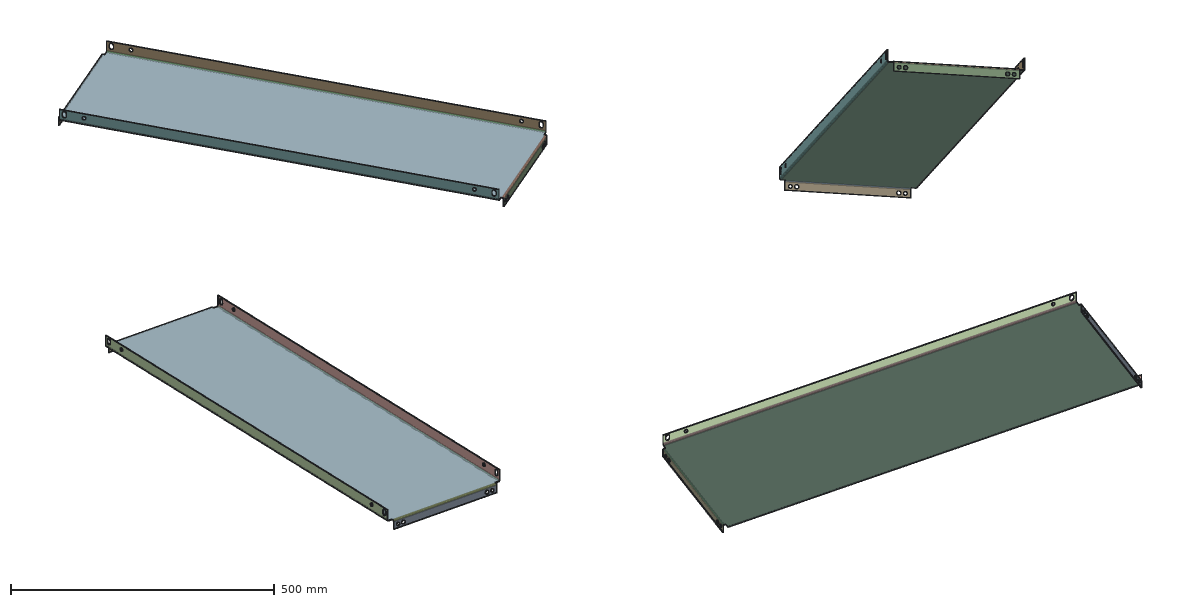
import cadquery as cq

LENGTH = 898.0
WIDTH = 269.0
HEIGHT = 43.0
SHEET = 2.0
BEND_INSIDE = 1.6
BEND_OUTSIDE = BEND_INSIDE + SHEET

SIDE_FLANGE_LENGTH = 885.0
SIDE_FLANGE_HEIGHT = 25.0

END_FLANGE_WIDTH = 246.0
END_FLANGE_HEIGHT = HEIGHT - SIDE_FLANGE_HEIGHT + SHEET

SIDE_HOLE_DROP = 10.0
SIDE_SLOT_X = 433.0
SIDE_SLOT_WIDTH = 8.0
SIDE_SLOT_HEIGHT = 13.5
SIDE_HOLE_X = 393.0
SIDE_HOLE_DIAMETER = 7.0

END_HOLE_RISE = 8.0
END_SMALL_HOLE_Y = 112.0
END_SMALL_HOLE_DIAMETER = 7.0
END_LARGE_HOLE_Y = 100.0
END_LARGE_HOLE_DIAMETER = 8.0

SIDE_HOLE_Z = SIDE_FLANGE_HEIGHT - SIDE_HOLE_DROP
END_HOLE_Z = SHEET - END_FLANGE_HEIGHT + END_HOLE_RISE


def folded_channel(plane, span, flange_height, length):
    """U channel with its floor on height 0, its flanges upward and its bends rounded."""
    half = span / 2
    axis = "|X" if plane == "YZ" else "|Y"
    outer_corners = [(-half, 0), (half, 0)]
    inner_corners = [(-half + SHEET, SHEET), (half - SHEET, SHEET)]
    outline = [
        (-half, flange_height),
        *outer_corners,
        (half, flange_height),
        (half - SHEET, flange_height),
        *reversed(inner_corners),
        (-half + SHEET, flange_height),
    ]
    channel = cq.Workplane(plane).polyline(outline).close().extrude(length / 2, both=True)
    for corners, radius in ((outer_corners, BEND_OUTSIDE), (inner_corners, BEND_INSIDE)):
        for across, z in corners:
            point = (0, across, z) if plane == "YZ" else (across, 0, z)
            bend_edge = cq.selectors.NearestToPointSelector(point)
            channel = channel.edges(axis).edges(bend_edge).fillet(radius)
    return channel


def mirrored_points(plane, offset, z):
    """Workplane with one point on each side of the tray centre, both at height z."""
    return cq.Workplane(plane).pushPoints([(-offset, z), (offset, z)])


side_channel = folded_channel("YZ", WIDTH, SIDE_FLANGE_HEIGHT, SIDE_FLANGE_LENGTH)
end_channel = (
    folded_channel("XZ", LENGTH, END_FLANGE_HEIGHT, END_FLANGE_WIDTH)
    .rotate((0, 0, 0), (1, 0, 0), 180)
    .translate((0, 0, SHEET))
)
tray = side_channel.union(end_channel)

side_slots = mirrored_points("XZ", SIDE_SLOT_X, SIDE_HOLE_Z).slot2D(SIDE_SLOT_HEIGHT, SIDE_SLOT_WIDTH, 90)
side_holes = mirrored_points("XZ", SIDE_HOLE_X, SIDE_HOLE_Z).circle(SIDE_HOLE_DIAMETER / 2)
for openings in (side_slots, side_holes):
    tray = tray.cut(openings.extrude(WIDTH, both=True))

small_holes = mirrored_points("YZ", END_SMALL_HOLE_Y, END_HOLE_Z).circle(END_SMALL_HOLE_DIAMETER / 2)
large_holes = mirrored_points("YZ", END_LARGE_HOLE_Y, END_HOLE_Z).circle(END_LARGE_HOLE_DIAMETER / 2)
for openings in (small_holes, large_holes):
    tray = tray.cut(openings.extrude(LENGTH, both=True))

result = tray